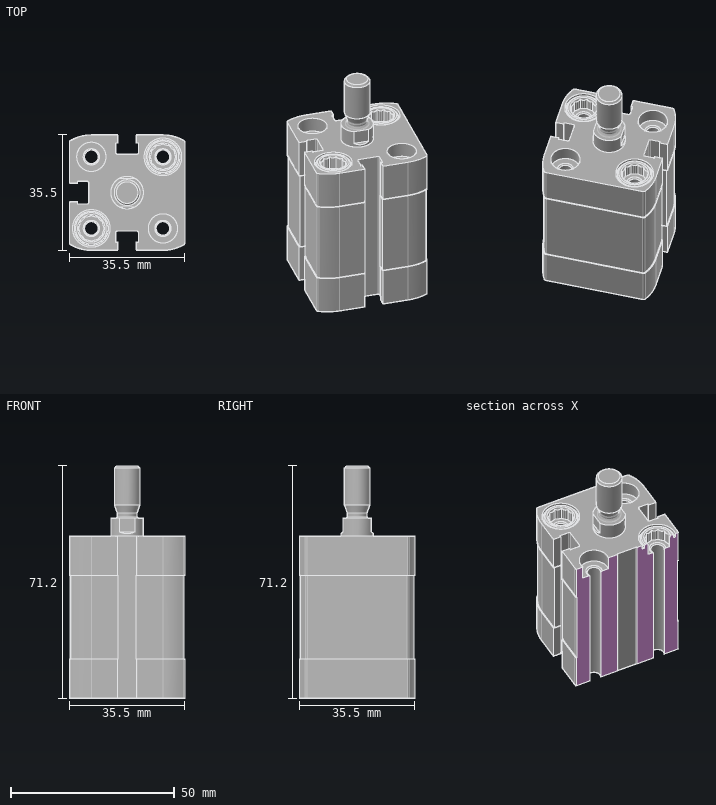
import cadquery as cq
import math

barrel_width = 34.95
cap_overhang = 0.25
width = barrel_width + 2 * cap_overhang
total_height = 71.2
body_height = 49.7
cap_height = 12.0

hole_offset = 11.0
corner_radius = 12.8
corner_blend = 0.8

cap_mouth = 5.85
barrel_mouth = 5.55
slot_inner_width = 6.9
slot_depth = 5.9
slot_lip = 2.55
slot_blend = 0.4

through_dia = 4.1
countersink_dia = 5.0
seat_depth = 4.6
counterbore_dia = 9.0

groove_dia = 11.5
groove_depth = 1.4
collar_dia = 10.5
collar_land_dia = 9.7
mouth_dia = 8.4
bore_dia = 7.5
flute_tip_dia = 7.9
flute_count = 12
flute_half_angle = 10.6
mouth_cone_slope = math.tan(math.radians(60))

rod_dia = 10.0
rod_shoulder_z = 55.2
flat_spacing = 8.75
flat_bottom_z = 51.0
flat_runout_slope = math.tan(math.radians(40))
neck_dia = 6.1
neck_fillet = 0.6
thread_dia = 7.9
thread_start_z = 59.25
neck_top_z = 56.75
taper_blend = 0.65
tip_chamfer_radial = 0.65
tip_chamfer_height = 0.7


def body_section(inset, bottom_z, height):
    """Length of the body whose sides are moved in by the given inset."""
    half = width / 2 - inset
    radius = corner_radius - inset
    arc_centre = width / 2 - corner_radius
    arc_run = half - hole_offset
    arc_end = arc_centre + math.sqrt(radius**2 - arc_run**2)
    mid_angle = math.asin(arc_run / radius) / 2
    arc_mid_x = hole_offset + radius * math.sin(mid_angle)
    arc_mid_y = arc_centre + radius * math.cos(mid_angle)
    return (
        cq.Workplane("XY", origin=(0, 0, bottom_z))
        .moveTo(-hole_offset, half)
        .lineTo(hole_offset, half)
        .threePointArc((arc_mid_x, arc_mid_y), (half, arc_end))
        .lineTo(half, -arc_end)
        .threePointArc((arc_mid_x, -arc_mid_y), (hole_offset, -half))
        .lineTo(-hole_offset, -half)
        .threePointArc((-arc_mid_x, -arc_mid_y), (-half, -arc_end))
        .lineTo(-half, arc_end)
        .threePointArc((-arc_mid_x, arc_mid_y), (-hole_offset, half))
        .close()
        .extrude(height)
        .edges("|Z and (<X or >X)")
        .fillet(corner_blend)
    )


def slot_cutter(mouth, bottom_z, height):
    """T slot opening toward -Y, with rounded inner corners."""
    outer_y = -width / 2
    cavity_depth = slot_depth - slot_lip
    cavity = (
        cq.Workplane("XY", origin=(0, outer_y + slot_lip + cavity_depth / 2, bottom_z))
        .rect(slot_inner_width, cavity_depth)
        .extrude(height)
        .edges("|Z and >Y")
        .fillet(slot_blend)
    )
    opening = (
        cq.Workplane("XY", origin=(0, outer_y + slot_lip / 2, bottom_z))
        .rect(mouth, slot_lip)
        .extrude(height)
    )
    return cavity.union(opening)


def slotted_section(inset, mouth, bottom_z, height):
    """Body section with slots in its -Y, -X and +Y sides."""
    section = body_section(inset, bottom_z, height)
    cutter = slot_cutter(mouth, bottom_z, height)
    for turn in (0, -90, 180):
        section = section.cut(cutter.rotate((0, 0, 0), (0, 0, 1), turn))
    return section


def cylinder(diameter, bottom_z, top_z):
    return cq.Workplane("XY", origin=(0, 0, bottom_z)).circle(diameter / 2).extrude(top_z - bottom_z)


def cone(bottom_dia, top_dia, bottom_z, top_z):
    height = top_z - bottom_z
    return cq.Workplane(cq.Solid.makeCone(bottom_dia / 2, top_dia / 2, height, cq.Vector(0, 0, bottom_z)))


def through_hole_cutter():
    """Through hole with a countersunk rim at the bottom of its seat."""
    seat_z = body_height - seat_depth
    countersink_depth = (countersink_dia - through_dia) / 2
    countersink = cone(through_dia, countersink_dia, seat_z - countersink_depth, seat_z)
    return cylinder(through_dia, 0, seat_z).union(countersink)


def counterbored_cutter():
    return through_hole_cutter().union(cylinder(counterbore_dia, body_height - seat_depth, body_height))


def flute_cutter():
    """V-shaped flutes around the socket bore."""
    seat_z = body_height - seat_depth
    bore_radius = bore_dia / 2
    half_angle = math.radians(flute_half_angle)
    edge_x = bore_radius * math.cos(half_angle)
    edge_y = bore_radius * math.sin(half_angle)
    flute = (
        cq.Workplane("XY", origin=(0, 0, seat_z))
        .polyline([(0, 0), (edge_x, -edge_y), (flute_tip_dia / 2, 0), (edge_x, edge_y)])
        .close()
        .extrude(seat_depth)
    )
    flutes = cylinder(bore_dia, seat_z, body_height)
    for index in range(flute_count):
        flutes = flutes.union(flute.rotate((0, 0, 0), (0, 0, 1), index * 360 / flute_count))
    return flutes


def ring_groove_cutter():
    """Groove around the socket that leaves a chamfered collar."""
    chamfer = (collar_dia - collar_land_dia) / 2
    groove_z = body_height - groove_depth
    chamfer_z = body_height - chamfer
    collar = cylinder(collar_dia, groove_z, chamfer_z)
    collar = collar.union(cone(collar_dia, collar_land_dia, chamfer_z, body_height))
    return cylinder(groove_dia, groove_z, body_height).cut(collar)


def socket_cutter():
    """Fluted socket with a conical mouth, a ring groove and a through hole."""
    mouth_depth = (mouth_dia - bore_dia) / 2 * mouth_cone_slope
    mouth = cone(bore_dia, mouth_dia, body_height - mouth_depth, body_height)
    return through_hole_cutter().union(flute_cutter()).union(mouth).union(ring_groove_cutter())


def make_housing():
    """Barrel between two end caps, with T slots and four mounting holes."""
    top_cap_z = body_height - cap_height
    housing = slotted_section(0, cap_mouth, 0, cap_height)
    housing = housing.union(slotted_section(cap_overhang, barrel_mouth, cap_height, top_cap_z - cap_height))
    housing = housing.union(slotted_section(0, cap_mouth, top_cap_z, cap_height))
    counterbore = counterbored_cutter()
    socket = socket_cutter()
    for side in (-1, 1):
        housing = housing.cut(socket.translate((side * hole_offset, side * hole_offset, 0)))
        housing = housing.cut(counterbore.translate((side * hole_offset, -side * hole_offset, 0)))
    return housing


def wrench_flat_cutter():
    """Material removed for the -Y wrench flat, with a sloping run-out at its bottom."""
    flat_y = -flat_spacing / 2
    outer_y = -rod_dia / 2
    runout_z = flat_bottom_z - (flat_y - outer_y) * flat_runout_slope
    return (
        cq.Workplane("YZ")
        .polyline([
            (flat_y, rod_shoulder_z),
            (flat_y, flat_bottom_z),
            (outer_y, runout_z),
            (outer_y, rod_shoulder_z),
        ])
        .close()
        .extrude(rod_dia / 2, both=True)
    )


def make_rod():
    """Piston rod standing on the housing: collar with two flats, neck, taper and thread."""
    neck_radius = neck_dia / 2
    thread_radius = thread_dia / 2
    taper_angle = math.atan2(thread_radius - neck_radius, thread_start_z - neck_top_z)
    blend_tangent = taper_blend * math.tan(taper_angle / 2)
    blend_centre_x = neck_radius + taper_blend
    blend_bottom_z = neck_top_z - blend_tangent
    blend_mid = (
        blend_centre_x - taper_blend * math.cos(taper_angle / 2),
        blend_bottom_z + taper_blend * math.sin(taper_angle / 2),
    )
    blend_end = (
        blend_centre_x - taper_blend * math.cos(taper_angle),
        blend_bottom_z + taper_blend * math.sin(taper_angle),
    )
    fillet_x = neck_radius + neck_fillet
    fillet_z = rod_shoulder_z + neck_fillet
    fillet_mid_offset = neck_fillet * math.sqrt(0.5)
    rod = (
        cq.Workplane("XZ")
        .moveTo(0, body_height)
        .lineTo(rod_dia / 2, body_height)
        .lineTo(rod_dia / 2, rod_shoulder_z)
        .lineTo(fillet_x, rod_shoulder_z)
        .threePointArc((fillet_x - fillet_mid_offset, fillet_z - fillet_mid_offset), (neck_radius, fillet_z))
        .lineTo(neck_radius, blend_bottom_z)
        .threePointArc(blend_mid, blend_end)
        .lineTo(thread_radius, thread_start_z)
        .lineTo(thread_radius, total_height - tip_chamfer_height)
        .lineTo(thread_radius - tip_chamfer_radial, total_height)
        .lineTo(0, total_height)
        .close()
        .revolve(360, (0, 0, 0), (0, 1, 0))
    )
    flat = wrench_flat_cutter()
    return rod.cut(flat).cut(flat.mirror("XZ"))


housing = make_housing()
rod = make_rod()

result = cq.Compound.makeCompound([housing.val(), rod.val()])